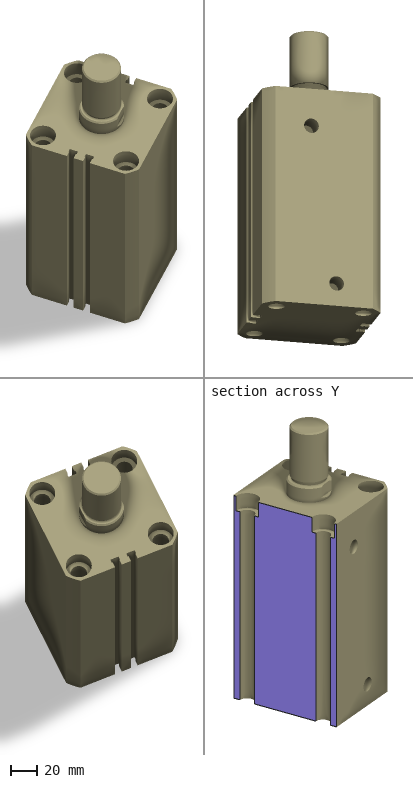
import cadquery as cq
import math

SIDE = 94.0
HOUSING_HEIGHT = 174.0
CORNER_FLAT = 77.3

HOLE_PITCH = 69.0
HOLE_DIAMETER = 12.8
COUNTERBORE_DIAMETER = 20.0
COUNTERBORE_DEPTH = 12.5

SLOT_OFFSET = 6.7
SLOT_MOUTH = 5.5
SLOT_INSIDE = 7.0
SLOT_LIP = 4.6
SLOT_DEPTH = 7.5

PORT_MOUTH_DIAMETER = 11.5
PORT_DEPTH = 16.0
PORT_END_DIAMETER = 10.5
PORT_OFFSET = 10.0
UPPER_PORT_DROP = 30.0
LOWER_PORT_HEIGHT = 18.0

TOTAL_HEIGHT = 232.0
COLLAR_DIAMETER = 34.8
COLLAR_HEIGHT = 13.0
COLLAR_CHAMFER = 1.2
NECK_DIAMETER = 27.0
NECK_HEIGHT = 3.0
ROD_DIAMETER = 30.0
ROD_CHAMFER = 1.2

FLATS_WIDTH = 31.8
FLATS_BOTTOM = 3.2


def make_blank():
    """Square block whose corners are turned to a large cylinder around the Z axis."""
    corner_radius = math.hypot(SIDE / 2, CORNER_FLAT / 2)
    block = cq.Workplane("XY").rect(SIDE, SIDE).extrude(HOUSING_HEIGHT)
    turned = cq.Workplane("XY").circle(corner_radius).extrude(HOUSING_HEIGHT)
    return block.intersect(turned)


def cut_mounting_holes(body):
    return (
        body.faces(">Z").workplane(origin=(0, 0, HOUSING_HEIGHT))
        .rect(HOLE_PITCH, HOLE_PITCH, forConstruction=True).vertices()
        .cboreHole(HOLE_DIAMETER, COUNTERBORE_DIAMETER, COUNTERBORE_DEPTH)
    )


def make_slot(x, side):
    """T-shaped slot cutter at x on the +Y (side = 1) or -Y (side = -1) face."""
    face_y = side * SIDE / 2
    inside_depth = SLOT_DEPTH - SLOT_LIP
    mouth = (
        cq.Workplane("XY").center(x, face_y - side * SLOT_DEPTH / 2)
        .rect(SLOT_MOUTH, SLOT_DEPTH).extrude(HOUSING_HEIGHT)
    )
    inside = (
        cq.Workplane("XY").center(x, face_y - side * (SLOT_LIP + inside_depth / 2))
        .rect(SLOT_INSIDE, inside_depth).extrude(HOUSING_HEIGHT)
    )
    return mouth.union(inside)


def make_port(y, z):
    """Tapered blind port cutter entering from the -X face."""
    mouth = cq.Workplane("YZ").circle(PORT_MOUTH_DIAMETER / 2)
    port = mouth.workplane(offset=PORT_DEPTH).circle(PORT_END_DIAMETER / 2).loft()
    return port.translate((-SIDE / 2, y, z))


def make_housing():
    body = cut_mounting_holes(make_blank())
    for side in (-1, 1):
        for x in (-SLOT_OFFSET, SLOT_OFFSET):
            body = body.cut(make_slot(x, side))
    body = body.cut(make_port(PORT_OFFSET, HOUSING_HEIGHT - UPPER_PORT_DROP))
    return body.cut(make_port(-PORT_OFFSET, LOWER_PORT_HEIGHT))


def make_flat_cutter(side):
    """Wedge that cuts a flat on the collar and runs out below it at 45 degrees."""
    inner = FLATS_WIDTH / 2
    outer = COLLAR_DIAMETER
    profile = [
        (side * inner, COLLAR_HEIGHT),
        (side * inner, FLATS_BOTTOM),
        (side * outer, FLATS_BOTTOM - (outer - inner)),
        (side * outer, COLLAR_HEIGHT),
    ]
    wedge = cq.Workplane("XZ").polyline(profile).close().extrude(COLLAR_DIAMETER / 2, both=True)
    return wedge.translate((0, 0, HOUSING_HEIGHT))


def make_rod():
    collar = (
        cq.Workplane("XY", origin=(0, 0, HOUSING_HEIGHT))
        .circle(COLLAR_DIAMETER / 2).extrude(COLLAR_HEIGHT)
        .faces(">Z").chamfer(COLLAR_CHAMFER)
    )
    for side in (-1, 1):
        collar = collar.cut(make_flat_cutter(side))

    neck_base = HOUSING_HEIGHT + COLLAR_HEIGHT
    rod_base = neck_base + NECK_HEIGHT
    neck = cq.Workplane("XY", origin=(0, 0, neck_base)).circle(NECK_DIAMETER / 2).extrude(NECK_HEIGHT)
    shank = (
        cq.Workplane("XY", origin=(0, 0, rod_base))
        .circle(ROD_DIAMETER / 2).extrude(TOTAL_HEIGHT - rod_base)
        .faces(">Z").chamfer(ROD_CHAMFER)
    )
    return collar.union(neck).union(shank)


housing = make_housing()
rod = make_rod()
result = cq.Compound.makeCompound([housing.val(), rod.val()])